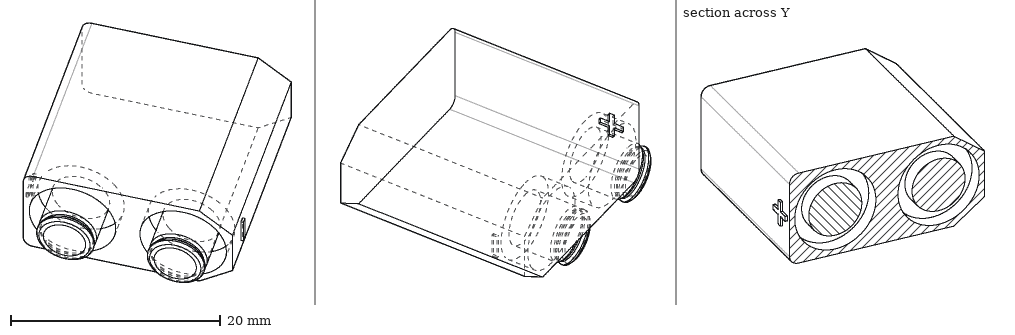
import cadquery as cq
import math

total_width = 21.3
housing_width = 20.8
housing_length = 20.7
housing_height = 9.9
corner_radius = 0.99
bevel_width = 3.3
bevel_height = 2.45

pin_spacing = 11.0
pin_positions = [-pin_spacing / 2, pin_spacing / 2]
recess_diameter = 8.6
recess_depth = 3.0

pin_diameter = 5.7
total_length = 23.5
pin_projection = total_length - housing_length
groove_start = 1.65
groove_slope = 0.25
groove_depth = 0.24
groove_floor = 0.19
tip_chamfer_length = 0.25
tip_chamfer_depth = 0.3
cone_diameter = 4.2
cone_angle = 118.0

mark_height = (total_width - housing_width) / 2
mark_length = 2.6
mark_stroke = 0.55
mark_setback = 3.22


def mark_bar(side, length_y, length_z):
    """Raised bar on the left (side = -1) or right (side = 1) face of the housing."""
    center_x = side * (housing_width + mark_height) / 2
    return cq.Workplane("XY").box(mark_height, length_y, length_z).translate((center_x, mark_setback, 0))


def make_housing():
    half_width = housing_width / 2
    half_height = housing_height / 2
    bevel_start_x = half_width - bevel_width
    bevel_end_z = half_height - bevel_height
    body = (
        cq.Workplane("XZ")
        .moveTo(-half_width, -half_height)
        .lineTo(bevel_start_x, -half_height)
        .lineTo(half_width, -bevel_end_z)
        .lineTo(half_width, bevel_end_z)
        .lineTo(bevel_start_x, half_height)
        .lineTo(-half_width, half_height)
        .close()
        .extrude(-housing_length)
    )
    body = body.faces("<X").edges("|Y").fillet(corner_radius)

    recesses = (
        cq.Workplane("XZ")
        .pushPoints([(x, 0) for x in pin_positions])
        .circle(recess_diameter / 2)
        .extrude(-recess_depth)
    )
    body = body.cut(recesses)

    body = body.union(mark_bar(-1, mark_length, mark_stroke))
    body = body.union(mark_bar(-1, mark_stroke, mark_length))
    return body.union(mark_bar(1, mark_stroke, mark_length))


def make_pin(center_x):
    """Pin turned about an axis along Y, with a slope-sided groove and a hollow tip."""
    radius = pin_diameter / 2
    groove_radius = radius - groove_depth
    cone_radius = cone_diameter / 2
    cone_depth = cone_radius / math.tan(math.radians(cone_angle / 2))

    tip_y = -pin_projection
    groove_floor_y = -groove_start - groove_slope
    groove_rise_y = groove_floor_y - groove_floor
    profile = (
        cq.Workplane("XY")
        .moveTo(0, recess_depth)
        .lineTo(radius, recess_depth)
        .lineTo(radius, -groove_start)
        .lineTo(groove_radius, groove_floor_y)
        .lineTo(groove_radius, groove_rise_y)
        .lineTo(radius, groove_rise_y - groove_slope)
        .lineTo(radius, tip_y + tip_chamfer_length)
        .lineTo(radius - tip_chamfer_depth, tip_y)
        .lineTo(cone_radius, tip_y)
        .lineTo(0, tip_y + cone_depth)
        .close()
    )
    pin = profile.revolve(360, (0, 0, 0), (0, 1, 0))
    return pin.translate((center_x, 0, 0))


housing = make_housing()
pins = [make_pin(x) for x in pin_positions]

result = cq.Compound.makeCompound([housing.val(), *[pin.val() for pin in pins]])